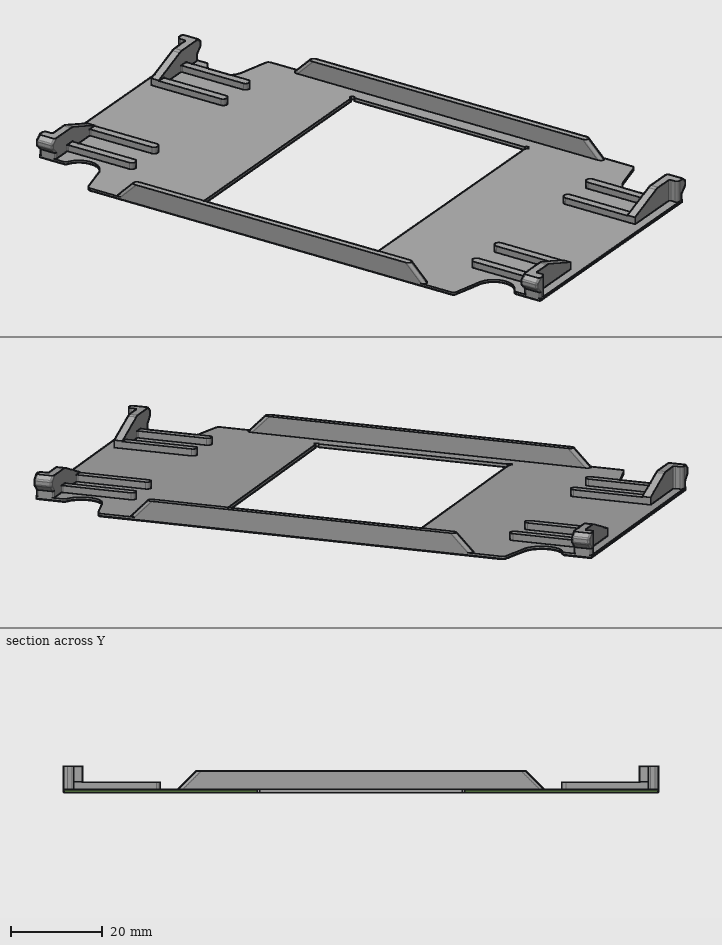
import cadquery as cq
import math

LENGTH = 130.0
WIDTH = 73.0
PLATE_THICKNESS = 0.8
BOTTOM_CHAMFER = 0.3
END_WIDTH = 57.5
SHOULDER_X = 47.6
SHOULDER_SLOPE = 0.25
SHOULDER_RADIUS = 0.9
NOTCH_BOTTOM_Y = 25.6
NOTCH_RADIUS = 4.5
NOTCH_EDGE_RADIUS = 0.8

WINDOW_LENGTH = 45.2
WINDOW_WIDTH = 63.5
RELIEF_RADIUS = 0.5

RAIL_THICKNESS = 1.5
RAIL_TOP = 4.8
RAIL_TOP_LENGTH = 72.0
RAIL_END_RADIUS = 0.72

TOTAL_HEIGHT = 5.8
WALL_OUTER_X = 62.8
WALL_INNER_X = 60.8
WALL_START_Y = 13.0
WALL_LOW_TOP = 2.5
WALL_CREST_Y = 22.0
CREST_RADIUS = 2.6
POST_INNER_Y = 26.9
HOOK_TIP_Y = 30.2
HOOK_TOP_Y = 29.0
HOOK_TIP_LOW = 3.6
HOOK_TIP_HIGH = 5.0
HOOK_TIP_RADIUS = 0.5
HOOK_SIDE_RADIUS = 0.4
POST_INNER_RADIUS = 0.8
INSIDE_CORNER_RADIUS = 0.4
RIB_ROOT_RADIUS = 0.3

RIB_WIDTH = 2.0
RIB_TOP = 2.3
RIB_END_X = 43.8
RIB_CENTERS_Y = (WALL_START_Y + RIB_WIDTH / 2, 23.0)
RIB_END_RADIUS = 0.9

POST_OUTER_Y = END_WIDTH / 2
HALF_LENGTH = LENGTH / 2
SELECTION_MARGIN = 0.1


def in_all_quadrants(shape):
    """Return the shape together with its mirror images across X and Y."""
    pair = shape.union(shape.mirror("YZ"))
    return pair.union(pair.mirror("XZ"))


def make_plate():
    plate = cq.Workplane("XY").box(LENGTH, WIDTH, PLATE_THICKNESS, centered=(True, True, False))

    slant = math.hypot(1, SHOULDER_SLOPE)
    notch_y = NOTCH_BOTTOM_Y + NOTCH_RADIUS
    notch_x = SHOULDER_X + SHOULDER_SLOPE * (WIDTH / 2 - notch_y) + NOTCH_RADIUS * slant
    tangent_x = notch_x - NOTCH_RADIUS / slant
    tangent_y = notch_y - NOTCH_RADIUS * SHOULDER_SLOPE / slant
    notch_edge_x = notch_x + math.sqrt(NOTCH_RADIUS**2 - (notch_y - POST_OUTER_Y) ** 2)
    cutout = (
        cq.Workplane("XY")
        .moveTo(SHOULDER_X, WIDTH / 2)
        .lineTo(tangent_x, tangent_y)
        .threePointArc((notch_x, NOTCH_BOTTOM_Y), (notch_edge_x, POST_OUTER_Y))
        .lineTo(HALF_LENGTH, POST_OUTER_Y)
        .lineTo(HALF_LENGTH, WIDTH / 2)
        .close()
        .extrude(PLATE_THICKNESS)
    )
    plate = plate.cut(in_all_quadrants(cutout))

    for x, y, radius in (
        (SHOULDER_X, WIDTH / 2, SHOULDER_RADIUS),
        (notch_edge_x, POST_OUTER_Y, NOTCH_EDGE_RADIUS),
    ):
        for corner in ((x, y), (-x, y), (-x, -y), (x, -y)):
            nearest = cq.selectors.NearestToPointSelector((*corner, PLATE_THICKNESS / 2))
            plate = plate.edges("|Z").edges(nearest).fillet(radius)
    return plate.faces("<Z").edges().chamfer(BOTTOM_CHAMFER)


def make_window():
    window = cq.Workplane("XY").rect(WINDOW_LENGTH, WINDOW_WIDTH).extrude(PLATE_THICKNESS)
    reliefs = (
        cq.Workplane("XY")
        .rect(WINDOW_LENGTH, WINDOW_WIDTH, forConstruction=True)
        .vertices()
        .circle(RELIEF_RADIUS)
        .extrude(PLATE_THICKNESS)
    )
    return window.union(reliefs)


def make_rail():
    half_top = RAIL_TOP_LENGTH / 2
    half_bottom = half_top + RAIL_TOP - PLATE_THICKNESS
    return (
        cq.Workplane("XZ", origin=(0, WIDTH / 2, 0))
        .polyline([
            (-half_bottom, PLATE_THICKNESS),
            (half_bottom, PLATE_THICKNESS),
            (half_top, RAIL_TOP),
            (-half_top, RAIL_TOP),
        ])
        .close()
        .extrude(RAIL_THICKNESS)
        .faces("<X or >X")
        .edges("#Y and (not |Y)")
        .fillet(RAIL_END_RADIUS)
    )


def make_wall():
    wall = (
        cq.Workplane("YZ", origin=(WALL_INNER_X, 0, 0))
        .moveTo(WALL_START_Y, PLATE_THICKNESS)
        .lineTo(WALL_START_Y, WALL_LOW_TOP)
        .lineTo(WALL_CREST_Y, TOTAL_HEIGHT)
        .lineTo(POST_INNER_Y, TOTAL_HEIGHT)
        .lineTo(POST_INNER_Y, PLATE_THICKNESS)
        .close()
        .extrude(WALL_OUTER_X - WALL_INNER_X)
    )
    crest = cq.selectors.NearestToPointSelector((WALL_INNER_X, WALL_CREST_Y, TOTAL_HEIGHT))
    return wall.edges("|X").edges(crest).fillet(CREST_RADIUS)


def make_post():
    underside_rise = HOOK_TIP_Y - POST_OUTER_Y
    post = (
        cq.Workplane("YZ", origin=(WALL_INNER_X, 0, 0))
        .moveTo(POST_INNER_Y, PLATE_THICKNESS)
        .lineTo(POST_INNER_Y, TOTAL_HEIGHT)
        .lineTo(HOOK_TOP_Y, TOTAL_HEIGHT)
        .lineTo(HOOK_TIP_Y, HOOK_TIP_HIGH)
        .lineTo(HOOK_TIP_Y, HOOK_TIP_LOW)
        .lineTo(POST_OUTER_Y, HOOK_TIP_LOW - underside_rise)
        .lineTo(POST_OUTER_Y, PLATE_THICKNESS)
        .close()
        .extrude(HALF_LENGTH - WALL_INNER_X)
    )
    post = post.edges("|Z and <Y and >X").fillet(POST_INNER_RADIUS)
    post = post.faces(">Y").edges("|X").fillet(HOOK_TIP_RADIUS)
    hook_outline = cq.selectors.BoxSelector(
        (0, POST_INNER_Y + SELECTION_MARGIN, PLATE_THICKNESS + SELECTION_MARGIN),
        (LENGTH, WIDTH, TOTAL_HEIGHT - SELECTION_MARGIN),
    )
    post = post.faces("<X or >X").edges(hook_outline).fillet(HOOK_SIDE_RADIUS)
    return post


def make_rib(center_y):
    length = WALL_INNER_X - RIB_END_X
    return (
        cq.Workplane("XY", origin=(RIB_END_X, center_y, PLATE_THICKNESS))
        .box(length, RIB_WIDTH, RIB_TOP - PLATE_THICKNESS, centered=(False, True, False))
        .edges("|Z and <X")
        .fillet(RIB_END_RADIUS)
    )


def make_corner():
    """Build one latch: wall, hooked post and ribs, with rounded inside corners."""
    corner = make_wall().union(make_post())
    for rib_y in RIB_CENTERS_Y:
        corner = corner.union(make_rib(rib_y))
    inside_corners = [(WALL_OUTER_X, POST_INNER_Y, INSIDE_CORNER_RADIUS)]
    for rib_y in RIB_CENTERS_Y:
        inside_corners.append((WALL_INNER_X, rib_y + RIB_WIDTH / 2, RIB_ROOT_RADIUS))
        if rib_y - RIB_WIDTH / 2 > WALL_START_Y:
            inside_corners.append((WALL_INNER_X, rib_y - RIB_WIDTH / 2, RIB_ROOT_RADIUS))
    for x, y, radius in inside_corners:
        nearest = cq.selectors.NearestToPointSelector((x, y, RIB_TOP / 2))
        corner = corner.edges("|Z").edges(nearest).fillet(radius)
    return corner


rail = make_rail()
result = make_plate().cut(make_window()).union(in_all_quadrants(make_corner()))
result = result.union(rail).union(rail.mirror("XZ"))